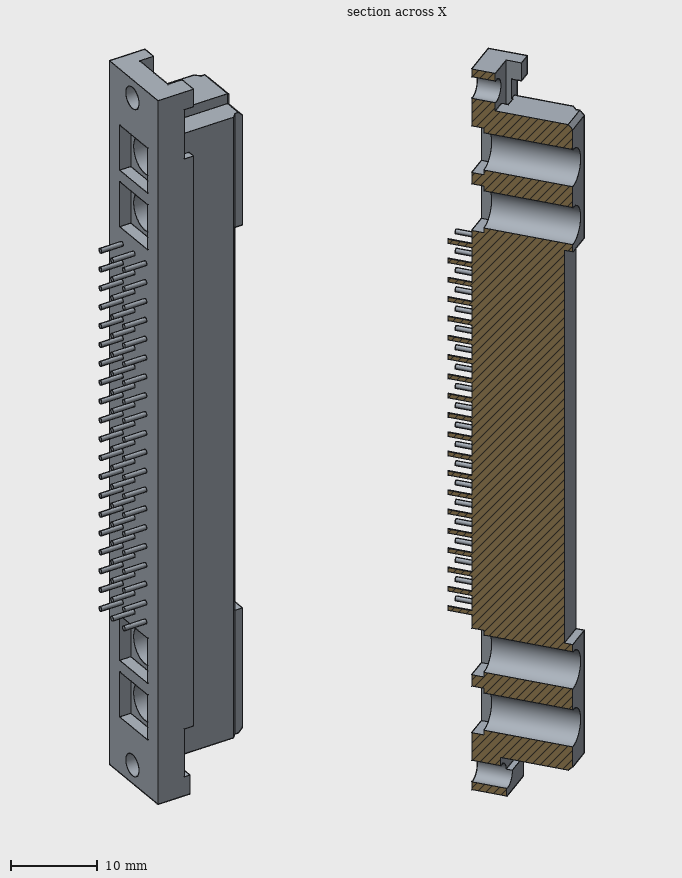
import cadquery as cq

length = 94.9
width = 10.5
pin_length = 2.9
total_depth = 15.5
back = total_depth - pin_length

base_depth = 3.6
flange_depth = 4.8
lower_ear_depth = 4.4
upper_ear_height = 2.4
lower_ear_height = 2.6
wall_half_length = 38.4

housing_width = 8.5
housing_half_length = 42.5
housing_depth = 11.5
back_width = 7.3
side_bevel_depth = 0.6

block_length = 16.7
block_chamfer = 0.6

step_x = 1.3
step_drop = 1.3

slot_width = 6.2
slot_floor = 2.9
left_pocket_edge = -1.9
pocket_length = 1.4
ramp_rise = 2.1
pocket_ceiling = 3.8

pin_diameter = 0.6
pin_columns = 3
pin_rows = 20
pin_span = 48.3
pitch = pin_span / (pin_rows - 1)
pin_root = 0.5

mount_diameter = 2.8
mount_x = -0.3
mount_z = 45.0
contact_diameter = 4.8
contact_recess_side = 6.1
contact_recess_depth = 1.5
contact_spacing = 3 * pitch
first_contact_z = pin_span / 2 + 2 * pitch


def box(x_range, y_range, z_range):
    """Box that spans the given ranges along X, Y and Z."""
    size = [high - low for low, high in (x_range, y_range, z_range)]
    corner = (x_range[0], y_range[0], z_range[0])
    return cq.Workplane("XY").box(*size, centered=False).translate(corner)


def make_flange():
    """Mounting strip with side walls in the middle and a raised ear at each end."""
    half = length / 2
    side = (-width / 2, width / 2)
    flange = box(side, (0, base_depth), (-half, half))
    flange = flange.union(box(side, (0, flange_depth), (-wall_half_length, wall_half_length)))
    flange = flange.union(box(side, (0, flange_depth), (half - upper_ear_height, half)))
    return flange.union(box(side, (0, lower_ear_depth), (-half, -half + lower_ear_height)))


def make_housing():
    """Housing with bevelled back edges, running the length between the ears."""
    half = housing_width / 2
    bevel_start = housing_depth - side_bevel_depth
    profile = [
        (-half, 0),
        (half, 0),
        (half, bevel_start),
        (back_width / 2, housing_depth),
        (-back_width / 2, housing_depth),
        (-half, bevel_start),
    ]
    return (
        cq.Workplane("XY", origin=(0, 0, -housing_half_length))
        .polyline(profile).close().extrude(2 * housing_half_length)
    )


def make_blocks():
    """Raised block at each end of the housing, bevelled at its outer end."""
    side = (-back_width / 2, back_width / 2)
    depth = (housing_depth, back)
    inner = housing_half_length - block_length
    lower = box(side, depth, (-housing_half_length, -inner))
    lower = lower.faces("<Z").edges(">Y").chamfer(block_chamfer)

    low_top = housing_half_length - step_drop
    tall = box((side[0], step_x), depth, (inner, housing_half_length))
    tall = tall.edges(">Y and (>Z or >X)").chamfer(block_chamfer)
    short = box(side, depth, (inner, low_top))
    short = short.faces(">Z").edges(">Y").chamfer(block_chamfer)
    return lower.union(tall).union(short)


def make_step():
    """Material removed from the upper end of the housing on its +X side."""
    low_top = housing_half_length - step_drop
    return box((step_x, width / 2), (base_depth, housing_depth), (low_top, housing_half_length))


def make_slot():
    """Slot across the upper ear, with a flat pocket at its -X side and a sloping one at its +X side."""
    left = mount_x - slot_width / 2
    right = mount_x + slot_width / 2
    depth = (slot_floor, flange_depth)
    pocket_depth = (slot_floor, pocket_ceiling)
    pocket_bottom = housing_half_length - pocket_length
    slot = box((left, right), depth, (housing_half_length, length / 2))
    flat_pocket = box((left, left_pocket_edge), pocket_depth, (pocket_bottom, housing_half_length))
    ramp = (
        cq.Workplane("XZ", origin=(0, slot_floor, 0))
        .polyline([
            (step_x, housing_half_length),
            (step_x, pocket_bottom - ramp_rise),
            (right, pocket_bottom),
            (right, housing_half_length),
        ])
        .close().extrude(slot_floor - pocket_ceiling)
    )
    return slot.union(flat_pocket).union(ramp)


def make_holes():
    """Mounting holes and contact holes; each contact hole has a square recess at the pin face."""
    face = cq.Workplane("XZ")
    contact_z = (first_contact_z, first_contact_z + contact_spacing)
    contacts = [(0, sign * z) for sign in (-1, 1) for z in contact_z]
    holes = face.pushPoints([(mount_x, -mount_z), (mount_x, mount_z)]).circle(mount_diameter / 2)
    holes = holes.extrude(-flange_depth)
    holes = holes.union(face.pushPoints(contacts).circle(contact_diameter / 2).extrude(-back))
    recesses = face.pushPoints(contacts).rect(contact_recess_side, contact_recess_side)
    return holes.union(recesses.extrude(-contact_recess_depth))


def make_pins():
    """Grid of round pins that stand out from the pin face."""
    return (
        cq.Workplane("XZ", origin=(0, pin_root, 0))
        .rarray(pitch, pitch, pin_columns, pin_rows)
        .circle(pin_diameter / 2).extrude(pin_length + pin_root)
    )


body = make_flange().union(make_housing()).union(make_blocks())
body = body.cut(make_step()).cut(make_slot()).cut(make_holes())
result = body.union(make_pins())